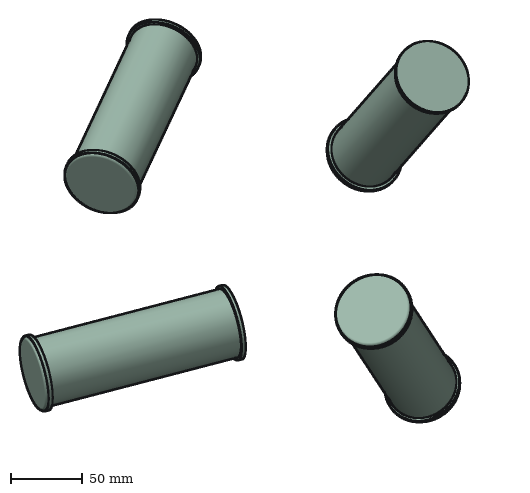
import cadquery as cq

length = 150.0

body_diameter = 50.0

flange_thickness = 3.0
front_flange_diameter = 55.0
rear_flange_diameter = 54.0

nose_diameter = rear_flange_diameter
nose_radius = 2.0

front_y = -length / 2
rear_y = length / 2


def disc(diameter, start_y, thickness):
    """Solid cylinder along +Y that starts at start_y."""
    start_plane = cq.Plane(origin=(0, start_y, 0), xDir=(1, 0, 0), normal=(0, 1, 0))
    return cq.Workplane(start_plane).circle(diameter / 2).extrude(thickness)


body = disc(body_diameter, front_y, length)
front_flange = disc(front_flange_diameter, front_y + nose_radius, flange_thickness)
rear_flange = disc(rear_flange_diameter, rear_y - flange_thickness, flange_thickness)

nose = disc(nose_diameter, front_y, nose_radius + flange_thickness)
nose = nose.faces("<Y").edges().fillet(nose_radius)

result = body.union(nose).union(front_flange).union(rear_flange)